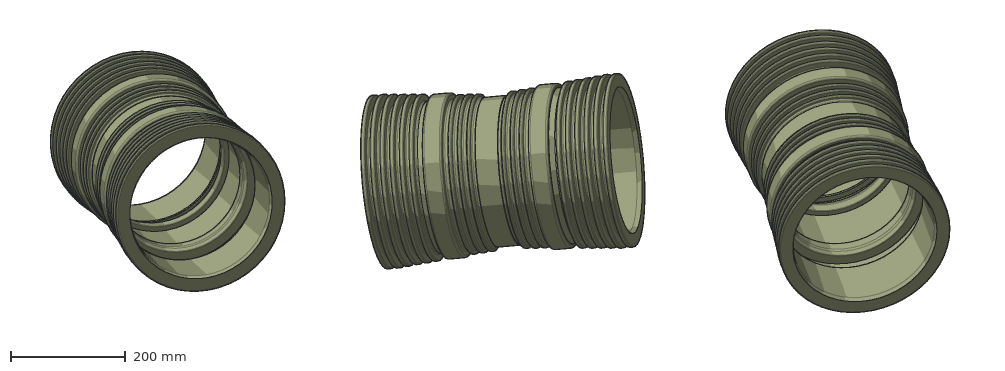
import cadquery as cq
import math

length = 440.0

end_rib_tips = [304.0, 304.0, 301.0, 298.0, 295.0, 292.0]
end_rib_width = 8.0
end_rib_first = end_rib_width / 2
end_rib_last = 89.0
end_rib_pitch = (end_rib_last - end_rib_first) / (len(end_rib_tips) - 1)
end_root = 265.7
end_tip_round = 1.8
end_root_round = 2.0

collar_start = 108.0
collar_end = 143.0
collar_diameter = 288.5
collar_round = 4.0
cone_length = 10.0
cone_end_diameter = 273.5

inner_rib_tips = [280.0, 278.0, 276.0]
inner_rib_width = 7.0
inner_rib_pitch = 16.3
inner_rib_first = 156.5
inner_root = 261.0
inner_tip_round = 2.0
inner_root_round = 2.5

middle_start = 200.0
middle_diameter = 262.0
middle_step = 1.0

mouth_diameter = 257.0
mouth_length = 9.0
socket_diameter = 251.5
socket_depth = 104.5
chamber_diameter = 275.0
chamber_lead_length = 2.5
chamber_lead_diameter = 254.5
chamber_start = socket_depth + chamber_lead_length
chamber_end = 135.5
stop_entry_diameter = 241.0
stop_diameter = 231.5
stop_entry_round = 1.5
stop_cone_start = 144.0
stop_cone_diameter = 234.0
stop_cone_end = 149.0
stop_end = 168.0
middle_bore = 250.5
stop_exit_round = 1.5


def rib_corners(tips, first, pitch, width, root, tip_round, root_round):
    """Corners (x, diameter, rounding) of a row of ribs standing on one root diameter."""
    corners = []
    for index, tip in enumerate(tips):
        left = first + index * pitch - width / 2
        right = left + width
        corners += [
            (left, root, root_round),
            (left, tip, tip_round),
            (right, tip, tip_round),
            (right, root, root_round),
        ]
    return corners


def outer_corners():
    """Outside of the left half, from the end face towards the middle."""
    end_ribs = rib_corners(
        end_rib_tips, end_rib_first, end_rib_pitch, end_rib_width, end_root, end_tip_round, end_root_round
    )
    collar = [
        (collar_start - cone_length, end_root, 0),
        (collar_start, cone_end_diameter, 0),
        (collar_start, collar_diameter, collar_round),
        (collar_end, collar_diameter, collar_round),
        (collar_end, inner_root, inner_root_round),
    ]
    inner_ribs = rib_corners(
        inner_rib_tips,
        inner_rib_first,
        inner_rib_pitch,
        inner_rib_width,
        inner_root,
        inner_tip_round,
        inner_root_round,
    )
    middle = [
        (middle_start - middle_step, inner_root, 0),
        (middle_start, middle_diameter, 0),
    ]
    return end_ribs[1:] + collar + inner_ribs + middle


def bore_corners():
    """Inside of the left half, from the end face towards the middle."""
    return [
        (0, mouth_diameter, 0),
        (mouth_length, socket_diameter, 0),
        (socket_depth, socket_diameter, 0),
        (chamber_start, chamber_lead_diameter, 0),
        (chamber_start, chamber_diameter, 0),
        (chamber_end, chamber_diameter, 0),
        (chamber_end, stop_entry_diameter, stop_entry_round),
        (stop_cone_start, stop_cone_diameter, 0),
        (stop_cone_end, stop_diameter, 0),
        (stop_end, stop_diameter, stop_exit_round),
        (stop_end, middle_bore, 0),
    ]


def with_mirror_image(corners):
    """Continue a left-half run of corners with its mirror image on the right half."""
    return corners + [(length - x, diameter, rounding) for x, diameter, rounding in reversed(corners)]


def shift_towards(start, target, distance):
    """Point at the given distance from start on the way to target."""
    gap = math.dist(start, target)
    return tuple(s + (t - s) * distance / gap for s, t in zip(start, target))


def rounded_outline(corners):
    """Closed outline through (x, diameter, rounding) corners, with tangent arcs at rounded ones."""
    points = [(x - length / 2, diameter / 2) for x, diameter, _ in corners]
    radii = [rounding for _, _, rounding in corners]
    outline = cq.Workplane("XY").moveTo(*points[0])
    for i in range(1, len(points)):
        corner = points[i]
        radius = radii[i]
        if radius == 0:
            outline = outline.lineTo(*corner)
            continue
        before = points[i - 1]
        after = points[(i + 1) % len(points)]
        towards_before = shift_towards(corner, before, 4.5)
        towards_after = shift_towards(corner, after, 4.5)
        half_angle = math.asin(math.dist(towards_before, towards_after) / 9)
        bisector = tuple((a + b) / 2 for a, b in zip(towards_before, towards_after))
        setback = radius / math.tan(half_angle)
        arc_start = shift_towards(corner, before, setback)
        arc_end = shift_towards(corner, after, setback)
        arc_middle = shift_towards(corner, bisector, radius / math.sin(half_angle) - radius)
        outline = outline.lineTo(*arc_start).threePointArc(arc_middle, arc_end)
    return outline.close()


outside = with_mirror_image(outer_corners())
bore = with_mirror_image(bore_corners())
section = rounded_outline(bore + outside[::-1])
result = section.revolve(360, (0, 0, 0), (1, 0, 0))